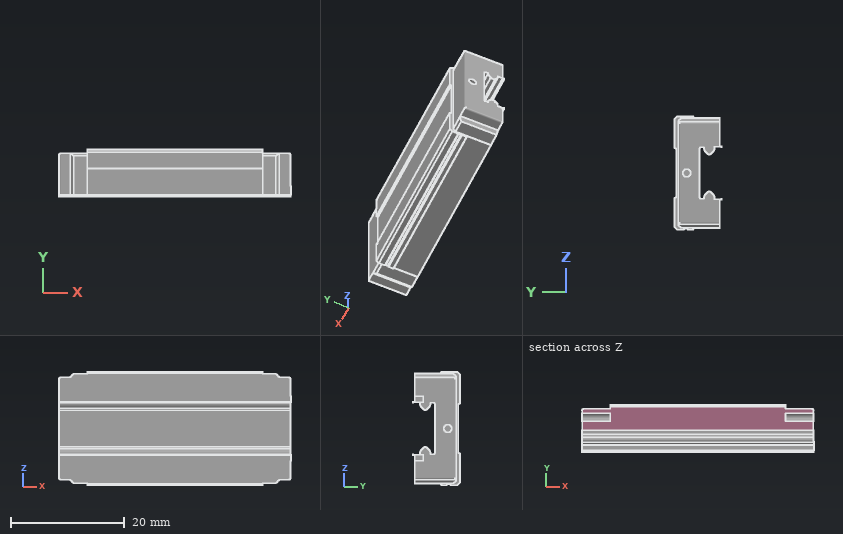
import cadquery as cq


total_length = 40.9
end_tab_thickness = 0.1
body_length = total_length - end_tab_thickness
block_length = 30.9

total_height = 8.3
front_face = 0.3
cap_back = 7.65
channel_floor = 3.85

cap_half_width = 9.65
cap_nose_half_width = 9.05
cap_nose_length = 1.95
cap_step = cap_half_width - cap_nose_half_width
cap_chamfer = 0.5
cap_end_fillet = 0.35

block_width = 20.0
block_half_width = block_width / 2
block_chamfer = 0.5
lower_half_width = 9.75
shoulder_y = 4.9
shoulder_run = 0.12
recess_half_width = 4.25
recess_depth = 0.3
recess_side_run = 0.15

groove_y = 6.3
groove_mouth = 0.75
groove_bottom = 0.4
groove_depth = 0.2

mouth_half_width = 4.62
floor_half_width = 4.5
floor_corner_fillet = 0.15
ridge_y = 2.15
ridge_z = 4.38
ridge_radius = 0.95
ridge_tip_z = 3.7
ridge_tip_radius = 0.45

lip_thickness = 0.1
lip_hook = 0.12
tab_top = 1.85
tab_width = 1.05

port_diameter = 1.4
port_y = 6.15
port_depth = (body_length - block_length) / 2


def extrude_along_x(profile, length):
    """Extrude a closed YZ profile, centred on X = 0."""
    return cq.Workplane("YZ").polyline(profile).close().extrude(length / 2, both=True)


def box_between(x_range, y_range, z_range):
    """Box given by its two limits along each axis."""
    (x0, x1), (y0, y1), (z0, z1) = x_range, y_range, z_range
    return cq.Workplane("XY").box(x1 - x0, y1 - y0, z1 - z0, centered=False).translate((x0, y0, z0))


def both_sides(solid):
    """A solid together with its mirror image across Z = 0."""
    return solid.union(solid.mirror("XY"))


def make_caps():
    """Full-length bar whose exposed ends form the two caps."""
    end_x = body_length / 2
    nose_x = end_x - cap_nose_length
    ramp_x = nose_x - cap_step
    quarter = [(end_x, cap_nose_half_width), (nose_x, cap_nose_half_width), (ramp_x, cap_half_width)]
    upper = quarter + [(-x, z) for x, z in reversed(quarter)]
    outline = upper + [(x, -z) for x, z in reversed(upper)]
    bar = cq.Workplane("XZ").polyline(outline).close().extrude(-(cap_back - front_face))
    bar = bar.translate((0, front_face, 0))
    bar = bar.faces("<X or >X").edges("(not <Y)").fillet(cap_end_fillet)

    chamfer_y = cap_back - cap_chamfer
    chamfer_z = cap_half_width - cap_chamfer
    envelope = [
        (front_face, cap_half_width),
        (chamfer_y, cap_half_width),
        (cap_back, chamfer_z),
    ]
    envelope += [(y, -z) for y, z in reversed(envelope)]
    return bar.intersect(extrude_along_x(envelope, body_length))


def make_block():
    """Steel block with sloped shoulders, a relieved mounting face and a reference groove."""
    recess_floor = total_height - recess_depth
    half = [
        (front_face, lower_half_width),
        (shoulder_y, lower_half_width),
        (shoulder_y + shoulder_run, block_half_width),
        (total_height - block_chamfer, block_half_width),
        (total_height, block_half_width - block_chamfer),
        (total_height, recess_half_width + recess_side_run),
        (recess_floor, recess_half_width),
    ]
    block = extrude_along_x(half + [(y, -z) for y, z in reversed(half)], block_length)

    groove_floor = -block_half_width + groove_depth
    groove = [
        (groove_y - groove_mouth / 2, -block_half_width),
        (groove_y - groove_bottom / 2, groove_floor),
        (groove_y + groove_bottom / 2, groove_floor),
        (groove_y + groove_mouth / 2, -block_half_width),
    ]
    return block.cut(extrude_along_x(groove, block_length))


def make_channel():
    """Space taken by the rail: a wide mouth over a slightly narrower floor."""
    x_range = (-body_length / 2, body_length / 2)
    mouth = box_between(x_range, (0, ridge_y), (-mouth_half_width, mouth_half_width))
    floor = box_between(x_range, (0, channel_floor), (-floor_half_width, floor_half_width))
    floor = floor.faces(">Y").edges("|X").fillet(floor_corner_fillet)
    return mouth.union(floor)


def make_ridge():
    """Rounded ridge with a narrower rounded tip, along the +Z channel wall."""
    plane = cq.Workplane("YZ")
    flank = plane.center(ridge_y, ridge_z).circle(ridge_radius).extrude(body_length / 2, both=True)
    tip = plane.center(ridge_y, ridge_tip_z).circle(ridge_tip_radius).extrude(body_length / 2, both=True)
    return flank.union(tip)


def make_lip():
    """Hooked seal lip at the +Z edge of the mouth, with its tab on the +X end."""
    outer_z = mouth_half_width + lip_thickness
    profile = [
        (front_face, outer_z),
        (0, outer_z),
        (0, mouth_half_width - lip_hook),
        (lip_thickness, mouth_half_width - lip_hook),
        (lip_thickness, mouth_half_width),
        (front_face, mouth_half_width),
    ]
    end_x = body_length / 2
    tab = box_between(
        (end_x, end_x + end_tab_thickness),
        (front_face, tab_top),
        (mouth_half_width, mouth_half_width + tab_width),
    )
    return extrude_along_x(profile, body_length).union(tab)


def make_port():
    """Blind lubrication port in the -X end cap."""
    plane = cq.Workplane("YZ", origin=(-body_length / 2, port_y, 0))
    return plane.circle(port_diameter / 2).extrude(port_depth)


port = make_port()

result = make_caps().union(make_block()).cut(make_channel())
result = result.union(both_sides(make_ridge())).union(both_sides(make_lip()))
result = result.cut(port).cut(port.mirror("YZ"))